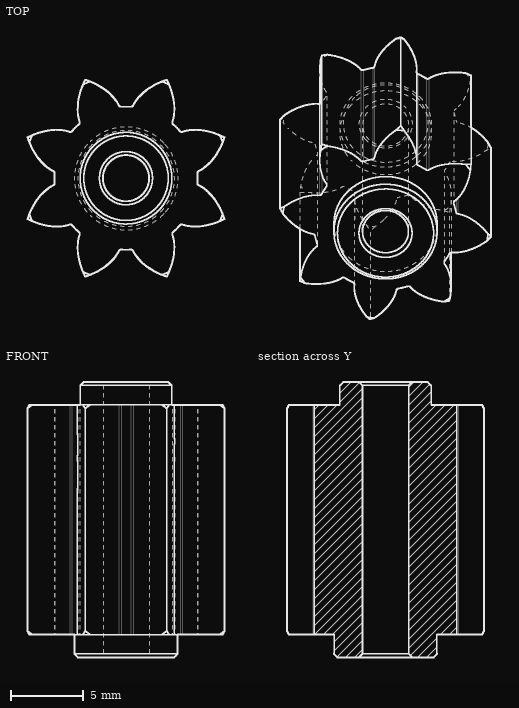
import cadquery as cq
import math

total_length = 19.05
hub_length = 1.58
gear_length = total_length - 2 * hub_length

top_hub_diameter = 6.35
bottom_hub_diameter = 7.15
bore_diameter = 3.18
edge_chamfer = 0.25

tooth_count = 8
pitch_radius = 5.09
pressure_angle = math.radians(20)
root_radius = 4.95
tip_radius = 7.37
root_fillet = 0.15
flank_points = 9

tooth_pitch = 2 * math.pi / tooth_count
base_radius = pitch_radius * math.cos(pressure_angle)


def involute_angle(radius):
    """Polar angle swept by the involute between the base circle and a radius."""
    roll = math.acos(base_radius / radius)
    return math.tan(roll) - roll


def polar(radius, angle):
    return (radius * math.cos(angle), radius * math.sin(angle))


def half_tooth_angle(radius):
    """Half the tooth's angular thickness; zero at the pointed tip."""
    return involute_angle(tip_radius) - involute_angle(radius)


def gear_body():
    """Extruded teeth, with one tooth space centred on the X axis."""
    step = (tip_radius - root_radius) / (flank_points - 1)
    radii = [root_radius + i * step for i in range(flank_points)]
    root_half_angle = half_tooth_angle(root_radius)
    first_centre = tooth_pitch / 2

    first_root = polar(root_radius, first_centre - root_half_angle)
    outline = cq.Workplane("XY").moveTo(*first_root)
    for tooth in range(tooth_count):
        centre = first_centre + tooth * tooth_pitch
        rising = [polar(r, centre - half_tooth_angle(r)) for r in radii]
        falling = [polar(r, centre + half_tooth_angle(r)) for r in reversed(radii)]
        outline = outline.spline(rising[1:], includeCurrent=True)
        outline = outline.spline(falling[1:], includeCurrent=True)
        space_middle = polar(root_radius, centre + tooth_pitch / 2)
        next_root = polar(root_radius, centre + tooth_pitch - root_half_angle)
        outline = outline.threePointArc(space_middle, next_root)
    body = outline.close().extrude(gear_length)

    fillet_zone = cq.selectors.BoxSelector(
        (-pitch_radius, -pitch_radius, 0), (pitch_radius, pitch_radius, gear_length)
    )
    return body.edges("|Z").edges(fillet_zone).fillet(root_fillet)


def tip_chamfer_envelope():
    """Chamfered cylinder that bevels both ends of every tooth tip."""
    blank = cq.Workplane("XY").circle(tip_radius).extrude(gear_length)
    return blank.faces("<Z or >Z").edges().chamfer(edge_chamfer)


def cylinder(diameter, length, start):
    """Plain round bar rising from height start."""
    return cq.Workplane("XY").workplane(offset=start).circle(diameter / 2).extrude(length)


teeth = gear_body().intersect(tip_chamfer_envelope()).translate((0, 0, hub_length))
bottom_hub = cylinder(bottom_hub_diameter, hub_length, 0)
top_hub = cylinder(top_hub_diameter, hub_length, hub_length + gear_length)
bore = cylinder(bore_diameter, total_length, 0)

pinion = teeth.union(bottom_hub).union(top_hub).cut(bore)

result = pinion.faces("<Z or >Z").edges().chamfer(edge_chamfer)